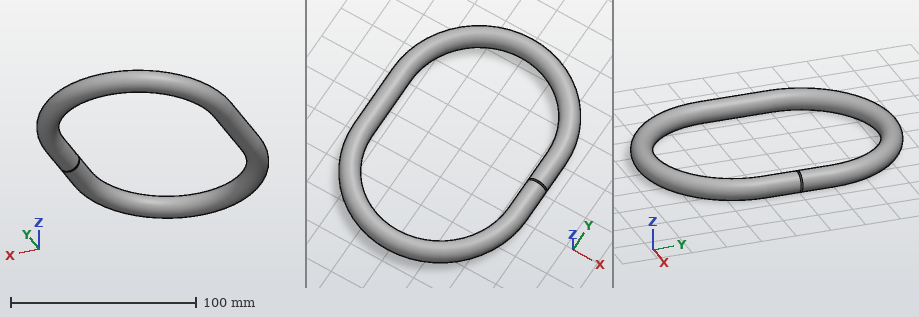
import cadquery as cq

length = 149.8
width = 110.0
wire_diameter = 12.0
gap = 1.0

bend_radius = (width - wire_diameter) / 2
half_straight = (length - width) / 2
half_gap = gap / 2

centreline = (
    cq.Workplane("XY")
    .moveTo(bend_radius, half_gap)
    .lineTo(bend_radius, half_straight)
    .threePointArc((0, half_straight + bend_radius), (-bend_radius, half_straight))
    .lineTo(-bend_radius, -half_straight)
    .threePointArc((0, -half_straight - bend_radius), (bend_radius, -half_straight))
    .lineTo(bend_radius, -half_gap)
)

wire_end = cq.Workplane("XZ", origin=(bend_radius, half_gap, 0)).circle(wire_diameter / 2)

result = wire_end.sweep(centreline)